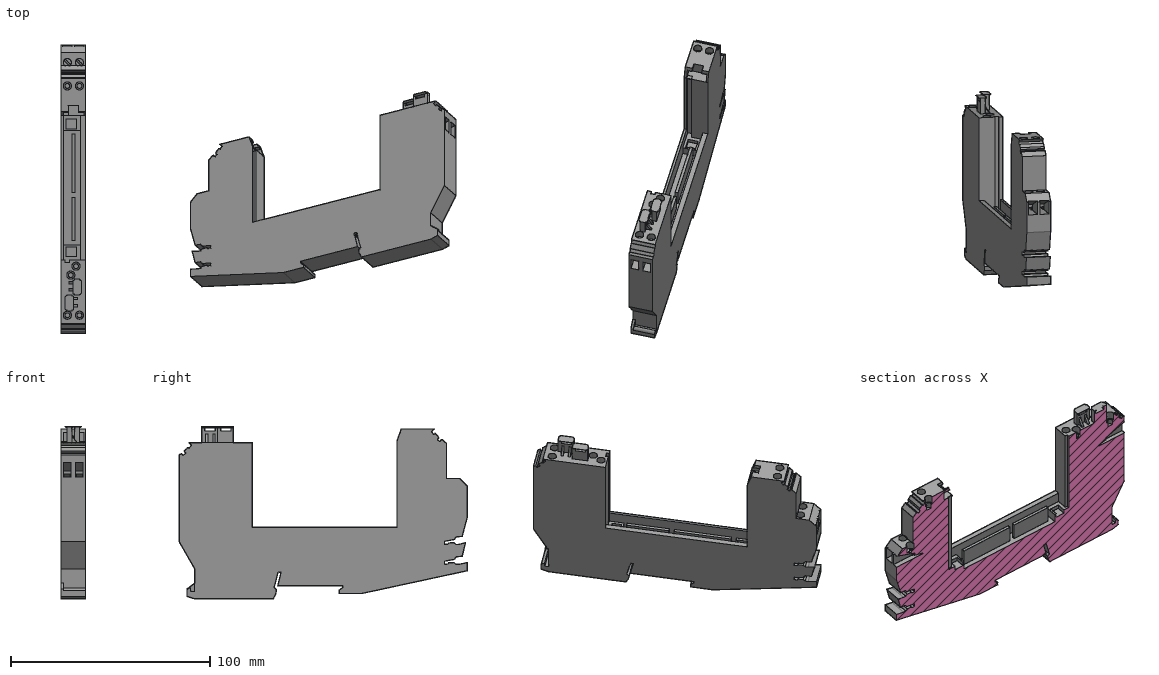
import cadquery as cq
WIDTH = 12.3
LENGTH = 144.6
HEIGHT = 86.4

FRONT_TOP = 78.3
REAR_TOP = 85.2
REAR_STEP_TOP = 60.3
REAR_STEP_Y = 134.2
BAY_START = 36.7
BAY_END = 109.2
BAY_RIM = 35.9
RAIL_SEAT = 6.5
FOOT_BACK = 7.8
FOOT_TIP = 3.9
GUTTER_FLOOR = 3.6

SLOT_EYE_CENTRE = (50.6, 14.0)
SLOT_EYE_RADIUS = 0.9

SLOPE_BOTTOM = 79.0
SLOPE_TOP_Y = 111.4

LATCH_BACK = 114.3
LATCH_ROOF = 83.3
LATCH_FLOOR_THICKNESS = 0.5
LATCH_SLOT_SPAN = (3.8, 8.7)
LATCH_RIGHT = 11.4

FRONT_GROOVE_SPAN = (2.0, 4.2)
FRONT_GROOVE_DEPTH = 1.3

NOTCH_PITCH = 10.0

NEAR_WALL = 1.3
FAR_WALL = 2.6
CHANNEL_FLOOR = 25.5
PAD_TOP = 30.2
PAD_LENGTH = 7.5
PAD_POCKET_DEPTH = 2.2
PAD_POCKET_LEFT = 2.6
PAD_POCKET_RIGHT = 7.7
PAD_POCKET_SPANS = ((38.5, 43.3), (102.5, 107.5))
RIB_LEFT = 5.5
RIB_RIGHT = 7.0
RIB_TOP = 34.5
RIB_SPANS = ((46.6, 68.1), (70.7, 100.0))

WELL_RADIUS = 2.0
BORE_RADIUS = 1.23
WELL_DEPTH = 4.3
BORE_DEPTH = 7.2
SCREW_COLUMNS = (3.2, 9.3)
FRONT_ROW_Y = 9.1
STAGGERED_WELLS = ((7.5, 33.7), (4.9, 29.2))
REAR_ROW_Y = 124.1
STEP_ROW_Y = 135.8
DRIVER_SLOT_WIDTH = 0.9
DRIVER_SLOT_DEPTH = 0.9
DRIVER_SLOT_ANGLE = -45

FRONT_ENTRY_LEFTS = (1.2, 7.2)
FRONT_ENTRY_WIDTH = 3.9
FRONT_ENTRY_TOP = 68.3
REAR_ENTRY_LEFTS = (0.9, 6.8)
REAR_ENTRY_WIDTH = 4.6
REAR_ENTRY_TOP = 57.1
ENTRY_HEIGHT = 7.1
ENTRY_DEPTH = 11.5
ENTRY_DROP = 4.2
CLAMP_INSET = 0.5
CLAMP_HEIGHT = 1.5
CLAMP_DEPTH = 5.8

LEVER_LENGTH = 8.0
LEFT_LEVER_X = 4.2
RIGHT_LEVER_X = 8.1
FIRST_LEVER_Y = 11.3
STEM_EMBED = 0.7
STEM_WIDTH = 2.5
CAP_OVERHANG = 0.94
CAP_HEIGHT = 0.7
WINDOW_OFFSET = 1.7
WINDOW_LENGTH = 5.0
WINDOW_HEIGHT = 1.5
GUSSET_HEIGHT = 4.3
GUSSET_REACH = 2.7
GUSSET_SAG = 0.44
GUSSET_THICKNESS = 1.2
GUSSET_OFFSETS = (2.0, 5.6)


def box(x0, x1, y0, y1, z0, z1):
    return cq.Workplane("XY").box(x1 - x0, y1 - y0, z1 - z0, centered=False).translate((x0, y0, z0))


def side_prism(points, x0, x1):
    """Extrude a closed outline of (y, z) points from x0 to x1."""
    return cq.Workplane("YZ").polyline(points).close().extrude(x1 - x0).translate((x0, 0, 0))


def well(x, y, top, radius, depth):
    return cq.Workplane("XY").center(x, y).circle(radius).extrude(depth).translate((0, 0, top - depth))


def comb_notch(drop, mouth_y):
    """Points of one notch in the rear edge, from its upper lip to its mouth."""
    points = [
        (142.0, 31.2), (139.0, 31.0), (138.0, 29.7), (133.2, 28.8), (133.2, 27.3),
        (135.0, 27.5), (135.2, 28.0), (137.9, 28.2), (138.9, 27.3), (140.3, 27.3), (mouth_y, 28.2),
    ]
    return [(y, z - drop) for y, z in points]


def housing():
    foot = [(47.3, 0), (7.7, 0), (FOOT_TIP, 1.2), (FOOT_TIP, 4.9), (FOOT_BACK, 7.8), (FOOT_BACK, 15.0)]
    front_corner = [
        (0, 28.6), (0, 72.2), (1.3, 72.9), (1.9, 71.9), (3.3, 73.0), (2.5, 74.0),
        (4.5, 76.0), (4.9, 75.5), (6.2, 77.0), (4.9, FRONT_TOP),
    ]
    bay = [
        (BAY_START, FRONT_TOP), (BAY_START, BAY_RIM), (BAY_END, BAY_RIM),
        (BAY_END, SLOPE_BOTTOM), (SLOPE_TOP_Y, REAR_TOP),
    ]
    rear_corner = [
        (128.0, REAR_TOP), (126.7, 83.8), (127.7, 82.5), (128.5, 83.0), (129.9, 81.6), (130.3, 80.7),
        (129.6, 79.8), (130.8, 78.8), (131.5, 79.8), (132.0, 79.8), (REAR_STEP_Y, 77.8),
    ]
    rear_step = [(REAR_STEP_Y, REAR_STEP_TOP), (140.9, REAR_STEP_TOP), (LENGTH, 56.5), (LENGTH, 41.1)]
    combs = comb_notch(0, 143.8) + comb_notch(NOTCH_PITCH, LENGTH)
    rail_hook = [(LENGTH, 14.0), (91.7, 2.6), (80.3, 2.6), (80.3, 4.3), (82.0, 5.6), (82.0, RAIL_SEAT)]
    spring_slot = [(49.5, RAIL_SEAT), (51.0, 13.2), (49.8, 13.5), (47.7, 5.6), (48.9, 4.6), (48.6, 2.5)]
    outline = foot + front_corner + bay + rear_corner + rear_step + combs + rail_hook + spring_slot
    return side_prism(outline, 0, WIDTH)


def foot_step():
    """Relief beside the thin cheek plate, leaving a low foot with a rounded lip and a gutter behind it."""
    return (
        cq.Workplane("YZ")
        .moveTo(FOOT_BACK, FOOT_BACK)
        .lineTo(FOOT_BACK, GUTTER_FLOOR)
        .lineTo(6.0, GUTTER_FLOOR)
        .lineTo(5.6, 5.4)
        .threePointArc((4.5, 4.9), (FOOT_TIP, 4.0))
        .lineTo(FOOT_TIP, FOOT_BACK)
        .close()
        .extrude(WIDTH - NEAR_WALL)
        .translate((NEAR_WALL, 0, 0))
    )


def spring_slot_eye():
    """Shallow round eye at the closed end of the spring slot."""
    return cq.Workplane("YZ").center(*SLOT_EYE_CENTRE).circle(SLOT_EYE_RADIUS).extrude(NEAR_WALL)


def channel():
    """Space removed from the bay floor, leaving end pads and two upright ribs."""
    right = WIDTH - FAR_WALL
    space = box(NEAR_WALL, right, BAY_START, BAY_END, CHANNEL_FLOOR, BAY_RIM)
    for start in (BAY_START, BAY_END - PAD_LENGTH):
        space = space.cut(box(NEAR_WALL, right, start, start + PAD_LENGTH, CHANNEL_FLOOR, PAD_TOP))
    for start, end in RIB_SPANS:
        space = space.cut(box(RIB_LEFT, RIB_RIGHT, start, end, CHANNEL_FLOOR, RIB_TOP))
    pocket_floor = PAD_TOP - PAD_POCKET_DEPTH
    for start, end in PAD_POCKET_SPANS:
        space = space.union(box(PAD_POCKET_LEFT, PAD_POCKET_RIGHT, start, end, pocket_floor, PAD_TOP))
    return space


def tower_grooves():
    """Upright grooves in the two tower faces and the rear latch recess, whose roof has an open slot."""
    groove_top = SLOPE_BOTTOM - LATCH_FLOOR_THICKNESS
    rear_groove = box(NEAR_WALL, LATCH_SLOT_SPAN[0], BAY_END, SLOPE_TOP_Y, PAD_TOP, groove_top)
    front_groove = box(*FRONT_GROOVE_SPAN, BAY_START - FRONT_GROOVE_DEPTH, BAY_START, PAD_TOP, FRONT_TOP)
    recess = box(NEAR_WALL, LATCH_RIGHT, BAY_END, LATCH_BACK, SLOPE_BOTTOM, LATCH_ROOF)
    latch = box(*LATCH_SLOT_SPAN, BAY_END, LATCH_BACK, SLOPE_BOTTOM, REAR_TOP)
    return rear_groove.union(front_groove).union(recess).union(latch)


def screw_wells():
    places = [(x, FRONT_ROW_Y, FRONT_TOP) for x in SCREW_COLUMNS]
    places += [(x, y, FRONT_TOP) for x, y in STAGGERED_WELLS]
    places += [(x, REAR_ROW_Y, REAR_TOP) for x in SCREW_COLUMNS]
    cuts = cq.Workplane("XY")
    for x, y, top in places:
        cuts = cuts.add(well(x, y, top, WELL_RADIUS, WELL_DEPTH))
        cuts = cuts.add(well(x, y, top, BORE_RADIUS, BORE_DEPTH))
    return cuts.combine()


def slotted_screw_wells():
    """Wells on the low rear step, each with a diagonal driver slot in its floor."""
    cuts = cq.Workplane("XY")
    for x in SCREW_COLUMNS:
        centre = (x, STEP_ROW_Y, REAR_STEP_TOP - WELL_DEPTH - DRIVER_SLOT_DEPTH)
        slot = (
            cq.Workplane("XY")
            .rect(2 * WELL_RADIUS, DRIVER_SLOT_WIDTH)
            .extrude(DRIVER_SLOT_DEPTH)
            .rotate((0, 0, 0), (0, 0, 1), DRIVER_SLOT_ANGLE)
            .translate(centre)
        )
        cuts = cuts.add(well(x, STEP_ROW_Y, REAR_STEP_TOP, WELL_RADIUS, WELL_DEPTH)).add(slot)
    return cuts.combine()


def wire_entry(left, width, top, face_y, inward):
    """Funnel with a falling roof, ending in a wedge-shaped clamp hole; inward is +1 or -1 along Y."""
    bottom = top - ENTRY_HEIGHT
    back_y = face_y + inward * ENTRY_DEPTH
    right = left + width
    funnel = side_prism(
        [(face_y, bottom), (face_y, top), (back_y, top - ENTRY_DROP), (back_y, bottom)], left, right
    )
    clamp = side_prism(
        [(back_y, bottom), (back_y, bottom + CLAMP_HEIGHT), (back_y + inward * CLAMP_DEPTH, bottom)],
        left + CLAMP_INSET, right - CLAMP_INSET,
    )
    return funnel.union(clamp)


def lever(centre_x, start_y, inner):
    """Blade with a flared, windowed cap and two curved gussets on its inner side (+1 or -1 along X)."""
    half = STEM_WIDTH / 2
    cap_half = half + CAP_OVERHANG
    cap_bottom = HEIGHT - CAP_HEIGHT
    end_y = start_y + LEVER_LENGTH
    stem = box(centre_x - half, centre_x + half, start_y, end_y, FRONT_TOP - STEM_EMBED, cap_bottom)
    cap = (
        cq.Workplane("XZ")
        .polyline([(-half, cap_bottom), (half, cap_bottom), (cap_half, HEIGHT), (-cap_half, HEIGHT)])
        .close()
        .extrude(-LEVER_LENGTH)
        .translate((centre_x, start_y, 0))
    )
    cap_plan = box(centre_x - cap_half, centre_x + cap_half, start_y, end_y, cap_bottom, HEIGHT)
    cap = cap.intersect(cap_plan.edges("|Z").chamfer(CAP_OVERHANG))
    window_y = start_y + WINDOW_OFFSET
    window = box(
        centre_x - half, centre_x + half, window_y, window_y + WINDOW_LENGTH,
        cap_bottom - WINDOW_HEIGHT, cap_bottom,
    )
    body = stem.cut(window).union(cap)

    root_x = centre_x + inner * half
    tip_x = root_x + inner * GUSSET_REACH
    shoulder = FRONT_TOP + GUSSET_HEIGHT
    sag_point = (root_x + inner * GUSSET_REACH * GUSSET_SAG, FRONT_TOP + GUSSET_HEIGHT * GUSSET_SAG)
    for offset in GUSSET_OFFSETS:
        gusset = (
            cq.Workplane("XZ")
            .moveTo(root_x, FRONT_TOP)
            .lineTo(tip_x, FRONT_TOP)
            .threePointArc(sag_point, (root_x, shoulder))
            .close()
            .extrude(-GUSSET_THICKNESS)
            .translate((0, start_y + offset, 0))
        )
        body = body.union(gusset)
    return body


result = housing().cut(foot_step()).cut(spring_slot_eye()).cut(channel()).cut(tower_grooves())
result = result.cut(screw_wells()).cut(slotted_screw_wells())
for entry_left in FRONT_ENTRY_LEFTS:
    result = result.cut(wire_entry(entry_left, FRONT_ENTRY_WIDTH, FRONT_ENTRY_TOP, 0, 1))
for entry_left in REAR_ENTRY_LEFTS:
    result = result.cut(wire_entry(entry_left, REAR_ENTRY_WIDTH, REAR_ENTRY_TOP, LENGTH, -1))
result = result.union(lever(LEFT_LEVER_X, FIRST_LEVER_Y, 1))
result = result.union(lever(RIGHT_LEVER_X, FIRST_LEVER_Y + LEVER_LENGTH, -1))